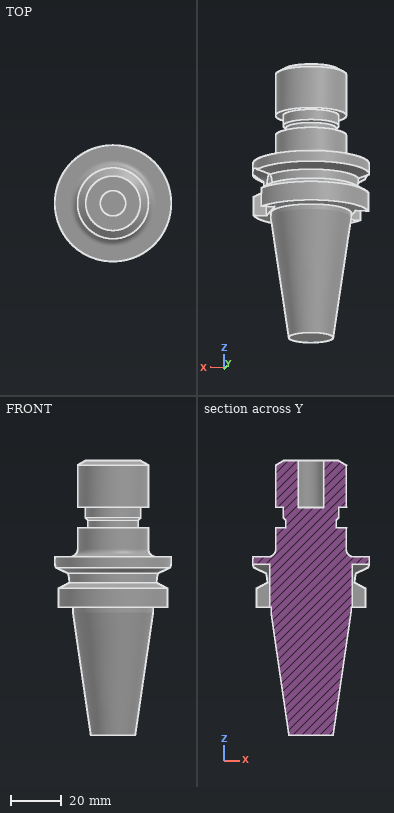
import cadquery as cq
import math


gauge_radius = 31.75 / 2
taper_length = 48.4
taper_ratio = 7 / 24
taper_end_radius = gauge_radius - taper_length * taper_ratio / 2

flange_radius = 23.0
flange_bottom = 2.0
flange_top = 22.0
groove_radius = 19.0
groove_middle = 13.6
groove_floor_width = 3.6
groove_side_angle = 30.0
groove_side_height = (flange_radius - groove_radius) * math.tan(math.radians(groove_side_angle))
groove_floor_bottom = groove_middle - groove_floor_width / 2
groove_floor_top = groove_middle + groove_floor_width / 2

collar_radius = 14.0
collar_top = 33.5
collar_fillet = 3.0

neck_radius = 10.0
neck_shoulder_radius = 11.0
neck_top = 36.4
neck_chamfer = neck_shoulder_radius - neck_radius

nut_radius = 14.0
nut_bottom = 41.5
nut_top = 60.0
nut_face_radius = 10.75
nut_chamfer_angle = 30.0
nut_chamfer_height = (nut_radius - nut_face_radius) * math.tan(math.radians(nut_chamfer_angle))
bore_radius = 5.0
bore_depth = nut_top - nut_bottom

slot_width = 16.1
slot_top = 19.0
slot_floor = 16.3


def make_body():
    """Revolve the half outline (radius, height) of the holder about Z."""
    fillet_center_radius = collar_radius + collar_fillet
    fillet_center_height = flange_top + collar_fillet
    diagonal = collar_fillet * math.sqrt(0.5)
    fillet_middle = (fillet_center_radius - diagonal, fillet_center_height - diagonal)
    outline = (
        cq.Workplane("XZ")
        .moveTo(0, -taper_length)
        .lineTo(taper_end_radius, -taper_length)
        .lineTo(gauge_radius, 0)
        .lineTo(gauge_radius, flange_bottom)
        .lineTo(flange_radius, flange_bottom)
        .lineTo(flange_radius, groove_floor_bottom - groove_side_height)
        .lineTo(groove_radius, groove_floor_bottom)
        .lineTo(groove_radius, groove_floor_top)
        .lineTo(flange_radius, groove_floor_top + groove_side_height)
        .lineTo(flange_radius, flange_top)
        .lineTo(fillet_center_radius, flange_top)
        .threePointArc(fillet_middle, (collar_radius, fillet_center_height))
        .lineTo(collar_radius, collar_top)
        .lineTo(neck_radius, collar_top)
        .lineTo(neck_radius, neck_top)
        .lineTo(neck_shoulder_radius, neck_top + neck_chamfer)
        .lineTo(neck_shoulder_radius, nut_bottom)
        .lineTo(nut_radius, nut_bottom)
        .lineTo(nut_radius, nut_top - nut_chamfer_height)
        .lineTo(nut_face_radius, nut_top)
        .lineTo(0, nut_top)
        .close()
    )
    return outline.revolve(360, (0, 0, 0), (0, 1, 0))


def make_bore():
    """Blind bore entering the nut face."""
    return cq.Workplane("XY").workplane(offset=nut_top - bore_depth).circle(bore_radius).extrude(bore_depth)


def make_drive_slot(side):
    """Round-topped slot cutter, open at the flange bottom; side is -1 or +1 along X."""
    half_width = slot_width / 2
    arc_height = slot_top - half_width
    slot_depth = flange_radius - slot_floor
    return (
        cq.Workplane("YZ", origin=(side * slot_floor, 0, 0))
        .moveTo(-half_width, flange_bottom)
        .lineTo(half_width, flange_bottom)
        .lineTo(half_width, arc_height)
        .threePointArc((0, slot_top), (-half_width, arc_height))
        .close()
        .extrude(side * slot_depth)
    )


result = make_body().cut(make_bore())
for slot_side in (-1, 1):
    result = result.cut(make_drive_slot(slot_side))